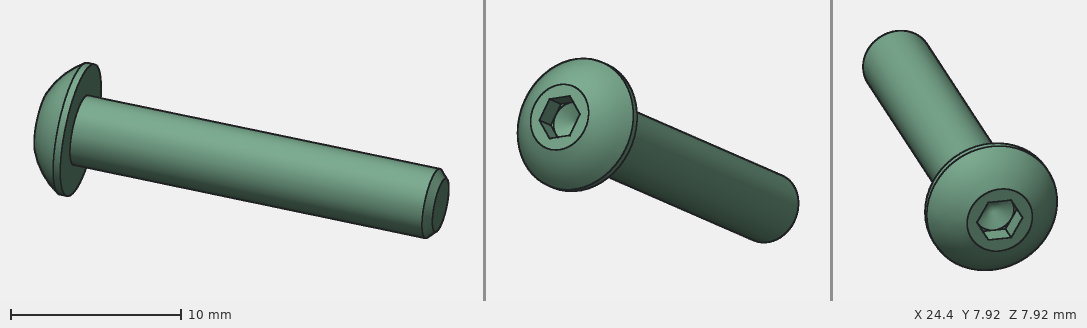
import cadquery as cq
import math

total_length = 24.43
shank_radius = 4.18 / 2
tip_chamfer = 0.5

head_height = 2.25
head_radius = 7.92 / 2
crown_radius = 3.95 / 2
rim_thickness = 0.45
dome_height = head_height - rim_thickness

socket_across_flats = 2.4
socket_depth = 1.32
drill_point_angle = 118.0

dome_center_x = (head_radius**2 + dome_height**2 - crown_radius**2) / (2 * dome_height)
dome_radius = math.hypot(crown_radius, dome_center_x)
dome_mid_x = dome_height / 2
dome_mid_radius = math.sqrt(dome_radius**2 - (dome_center_x - dome_mid_x) ** 2)


def make_body():
    """Revolve the head and shank profile about the X axis."""
    return (
        cq.Workplane("XY")
        .moveTo(0, 0)
        .lineTo(0, crown_radius)
        .threePointArc((dome_mid_x, dome_mid_radius), (dome_height, head_radius))
        .lineTo(head_height, head_radius)
        .lineTo(head_height, shank_radius)
        .lineTo(total_length - tip_chamfer, shank_radius)
        .lineTo(total_length, shank_radius - tip_chamfer)
        .lineTo(total_length, 0)
        .close()
        .revolve(360, (0, 0, 0), (1, 0, 0))
    )


def make_socket():
    """Hexagonal recess with corners on the Y axis and a cone at its floor."""
    across_corners = socket_across_flats / math.cos(math.radians(30))
    hexagon = cq.Workplane("YZ").polygon(6, across_corners).extrude(socket_depth)
    cone_radius = socket_across_flats / 2
    cone_depth = cone_radius / math.tan(math.radians(drill_point_angle / 2))
    cone = cq.Workplane(
        cq.Solid.makeCone(
            cone_radius, 0, cone_depth, cq.Vector(socket_depth, 0, 0), cq.Vector(1, 0, 0)
        )
    )
    return hexagon.union(cone)


result = make_body().cut(make_socket())